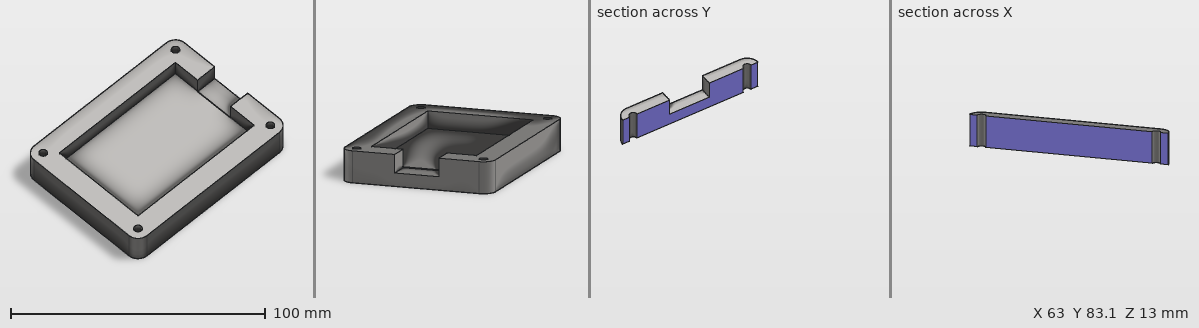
import cadquery as cq

width = 63.0
length = 83.1
height = 13.0
corner_radius = 5.0

wall = 9.5
pocket_depth = 7.1
pocket_width = width - 2 * wall
pocket_length = length - 2 * wall

slot_width = 18.45
slot_center_x = -0.4
slot_depth = 7.5

hole_diameter = 3.4
hole_spacing_x = width - 2 * corner_radius
hole_spacing_y = length - 2 * corner_radius


def make_block():
    return (
        cq.Workplane("XY")
        .box(width, length, height, centered=(True, True, False))
        .edges("|Z")
        .fillet(corner_radius)
    )


def make_pocket():
    return (
        cq.Workplane("XY", origin=(0, 0, height - pocket_depth))
        .rect(pocket_width, pocket_length)
        .extrude(pocket_depth)
    )


def make_slot():
    slot_center_y = length / 2 - wall / 2
    return (
        cq.Workplane("XY", origin=(slot_center_x, slot_center_y, height - slot_depth))
        .rect(slot_width, wall)
        .extrude(slot_depth)
    )


def make_screw_holes():
    return (
        cq.Workplane("XY")
        .rect(hole_spacing_x, hole_spacing_y, forConstruction=True)
        .vertices()
        .circle(hole_diameter / 2)
        .extrude(height)
    )


result = make_block().cut(make_pocket()).cut(make_screw_holes())
result = result.cut(make_slot())